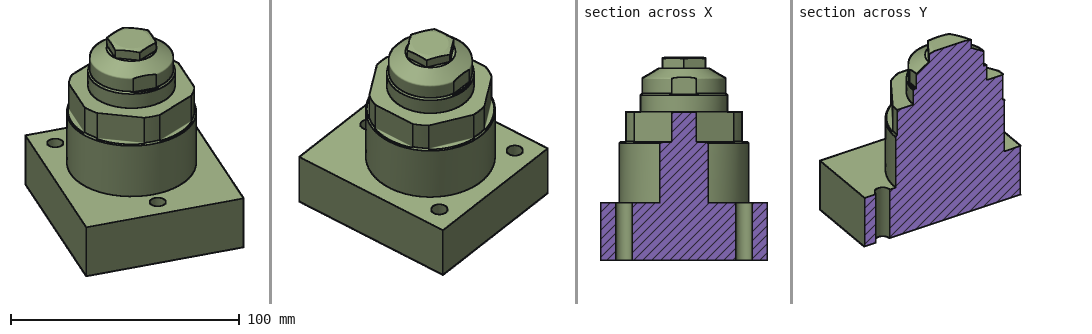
import cadquery as cq
import math

base_length = 80.9
base_width = 73.0
base_height = 25.3
base_center_x = 3.9

hole_diameter = 7.1
corner_hole_offset = 26.2
side_hole_offset = 34.9

body_top = 51.85
nut_top = 65.0
cap_flat_floor = 72.8
collar_top = 73.1
cap_rim_height = 79.8
cap_top = 84.2
total_height = 88.9

body_radius = 28.4
collar_radius = 19.1
cap_radius = 18.3
collar_chamfer = collar_radius - cap_radius
cap_rim_fillet = 0.8
cap_flat_distance = 17.5

nut_across_flats = 51.0
body_chamfer = 0.8
nut_corner_radius = body_radius - body_chamfer
body_chamfer_start = 51.3
nut_foot_fillet = 0.4

head_across_flats = 19.0
head_top_radius = 8.0
head_corner_drop = 0.7


def hex_diameter(across_flats):
    """Distance across the corners of a regular hexagon."""
    return across_flats / math.cos(math.pi / 6)


def cylinder(radius, bottom, top):
    return cq.Workplane("XY").workplane(offset=bottom).circle(radius).extrude(top - bottom)


def hex_prism(across_flats, bottom, top):
    plane = cq.Workplane("XY").workplane(offset=bottom)
    return plane.polygon(6, hex_diameter(across_flats)).extrude(top - bottom)


def make_base():
    base = cq.Workplane("XY").box(base_length, base_width, base_height, centered=(True, True, False))
    base = base.translate((base_center_x, 0, 0))
    hole_points = [
        (-corner_hole_offset, corner_hole_offset),
        (-corner_hole_offset, -corner_hole_offset),
        (side_hole_offset, 0),
    ]
    holes = cq.Workplane("XY").pushPoints(hole_points).circle(hole_diameter / 2).extrude(base_height)
    return base.cut(holes)


def revolve_profile(points):
    """Turn a closed (radius, height) outline about the tower axis."""
    return cq.Workplane("XZ").polyline(points).close().revolve(360, (0, 0), (0, 1))


def make_body_and_nut():
    blank_radius = hex_diameter(nut_across_flats)
    blank = cylinder(blank_radius, base_height, body_top)
    blank = blank.union(hex_prism(nut_across_flats, body_top, nut_top))
    foot_edges = cq.selectors.BoxSelector(
        (-blank_radius, -blank_radius, body_top - nut_foot_fillet),
        (blank_radius, blank_radius, body_top + nut_foot_fillet),
    )
    blank = blank.edges(foot_edges).edges("%LINE").fillet(nut_foot_fillet)
    envelope = revolve_profile([
        (0, base_height),
        (body_radius, base_height),
        (body_radius, body_chamfer_start),
        (nut_corner_radius, body_chamfer_start + body_chamfer),
        (nut_corner_radius, nut_top),
        (0, nut_top),
    ])
    return blank.intersect(envelope)


def make_collar_and_cap():
    cone_top_radius = hex_diameter(head_across_flats) / 2
    cap = revolve_profile([
        (0, nut_top),
        (collar_radius, nut_top),
        (collar_radius, collar_top - collar_chamfer),
        (cap_radius, collar_top),
        (cap_radius, cap_rim_height),
        (cone_top_radius, cap_top),
        (0, cap_top),
    ])
    rim = cq.selectors.NearestToPointSelector((0, 0, cap_rim_height))
    cap = cap.edges("%CIRCLE").edges(rim).fillet(cap_rim_fillet)
    cut_zone = cylinder(collar_radius, cap_flat_floor, cap_top)
    between_flats = cq.Workplane("XY").box(2 * cap_flat_distance, 2 * collar_radius, 2 * total_height)
    return cap.cut(cut_zone.cut(between_flats))


def make_head():
    head = hex_prism(head_across_flats, cap_top, total_height)
    corner_radius = hex_diameter(head_across_flats) / 2
    envelope = revolve_profile([
        (0, cap_top),
        (corner_radius, cap_top),
        (corner_radius, total_height - head_corner_drop),
        (head_top_radius, total_height),
        (0, total_height),
    ])
    return head.intersect(envelope)


result = (
    make_base()
    .union(make_body_and_nut())
    .union(make_collar_and_cap())
    .union(make_head())
)